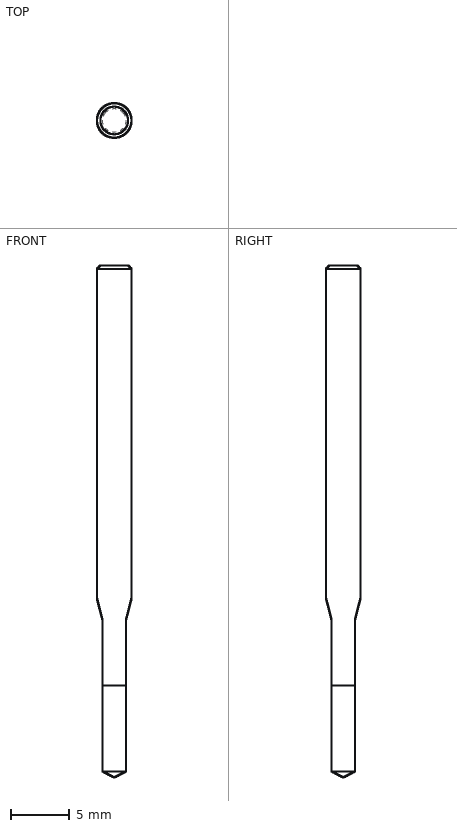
import cadquery as cq

TOTAL_LENGTH = 44.0
TIP_HEIGHT = 0.55
CUTTER_LENGTH = 7.9
NECK_LENGTH = 5.6
TAPER_LENGTH = 1.9

SHANK_DIAMETER = 3.0
CUTTER_DIAMETER = 2.02

END_CHAMFER = 0.3

neck_top = CUTTER_LENGTH + NECK_LENGTH
taper_top = neck_top + TAPER_LENGTH


def make_cutter():
    """Cylindrical cutting end with a conical drill point."""
    radius = CUTTER_DIAMETER / 2
    profile = [
        (0, 0),
        (radius, TIP_HEIGHT),
        (radius, CUTTER_LENGTH),
        (0, CUTTER_LENGTH),
    ]
    return cq.Workplane("XZ").polyline(profile).close().revolve(360, (0, 0), (0, 1))


def make_shank():
    """Neck, taper and chamfered shank, seated on the flat top of the cutter."""
    neck_radius = CUTTER_DIAMETER / 2
    shank_radius = SHANK_DIAMETER / 2
    profile = [
        (0, CUTTER_LENGTH),
        (neck_radius, CUTTER_LENGTH),
        (neck_radius, neck_top),
        (shank_radius, taper_top),
        (shank_radius, TOTAL_LENGTH - END_CHAMFER),
        (shank_radius - END_CHAMFER, TOTAL_LENGTH),
        (0, TOTAL_LENGTH),
    ]
    return cq.Workplane("XZ").polyline(profile).close().revolve(360, (0, 0), (0, 1))


cutter = make_cutter()
shank = make_shank()

result = cq.Compound.makeCompound([cutter.val(), shank.val()])